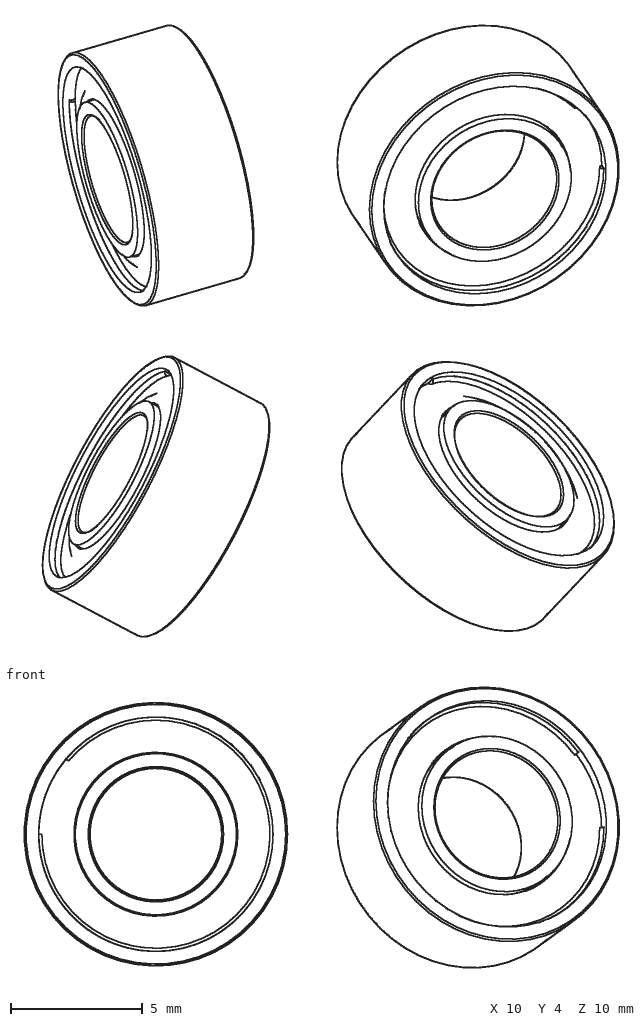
import cadquery as cq
import math

outer_diameter = 10.0
bore_diameter = 5.0
width = 4.0
edge_chamfer = 0.07

recess_outer_radius = 4.45
inner_race_radius = 3.06
lip_gap = 0.05
gap_depth = 0.5

lip_depth = 0.25
land_depth = 0.5
cone_angle = math.radians(45)
bend_radius = 0.27
lip_bend_radius = 3.34

wire_radius = 0.12
wire_opening_angle = 40

outer_radius = outer_diameter / 2
bore_radius = bore_diameter / 2
front_y = -width / 2
lip_outer_radius = inner_race_radius + lip_gap
lip_y = front_y + lip_depth
land_y = front_y + land_depth
gap_floor_y = front_y + gap_depth
wire_y = land_y - wire_radius
bend_drop = bend_radius * (1 - math.cos(cone_angle))
bend_run = bend_radius * math.sin(cone_angle)
cone_run = (land_depth - lip_depth - 2 * bend_drop) / math.tan(cone_angle)
land_bend_radius = lip_bend_radius + 2 * bend_run + cone_run


def lip_bend_point(turn):
    """Point on the bend that leaves the lip, after turning by the given angle."""
    return (
        lip_bend_radius + bend_radius * math.sin(turn),
        lip_y + bend_radius * (1 - math.cos(turn)),
    )


def land_bend_point(turn):
    """Point on the bend that meets the land, at the given angle before it runs flat."""
    return (
        land_bend_radius - bend_radius * math.sin(turn),
        land_y - bend_radius * (1 - math.cos(turn)),
    )


def make_blank():
    """Plain ring with chamfered corners."""
    blank = (
        cq.Workplane("XZ", origin=(0, -front_y, 0))
        .circle(outer_radius)
        .circle(bore_radius)
        .extrude(width)
    )
    return blank.faces("<Y or >Y").chamfer(edge_chamfer)


def make_front_recess():
    """Cavity in front of the shield, with the narrow gap around the inner race."""
    return (
        cq.Workplane("XY")
        .moveTo(inner_race_radius, front_y)
        .lineTo(inner_race_radius, gap_floor_y)
        .lineTo(lip_outer_radius, gap_floor_y)
        .lineTo(lip_outer_radius, lip_y)
        .lineTo(lip_bend_radius, lip_y)
        .threePointArc(lip_bend_point(cone_angle / 2), lip_bend_point(cone_angle))
        .lineTo(*land_bend_point(cone_angle))
        .threePointArc(land_bend_point(cone_angle / 2), land_bend_point(0))
        .lineTo(recess_outer_radius, land_y)
        .lineTo(recess_outer_radius, front_y)
        .close()
        .revolve(360, (0, 0, 0), (0, 1, 0))
    )


def make_front_snap_ring():
    """Open wire ring that starts at -X and leaves its opening just above -X."""
    return (
        cq.Workplane("XY", origin=(-recess_outer_radius, wire_y, 0))
        .circle(wire_radius)
        .revolve(360 - wire_opening_angle, (recess_outer_radius, 0, 0), (recess_outer_radius, -1, 0))
    )


def on_both_ends(front_shape):
    """The front shape and its mirror image at the opposite end of the bearing."""
    return [front_shape, front_shape.mirror("XZ")]


snap_rings = on_both_ends(make_front_snap_ring())

bearing = make_blank()
for cavity in on_both_ends(make_front_recess()) + snap_rings:
    bearing = bearing.cut(cavity)

result = cq.Compound.makeCompound(
    [bearing.solids().val(), *[ring.solids().val() for ring in snap_rings]]
)